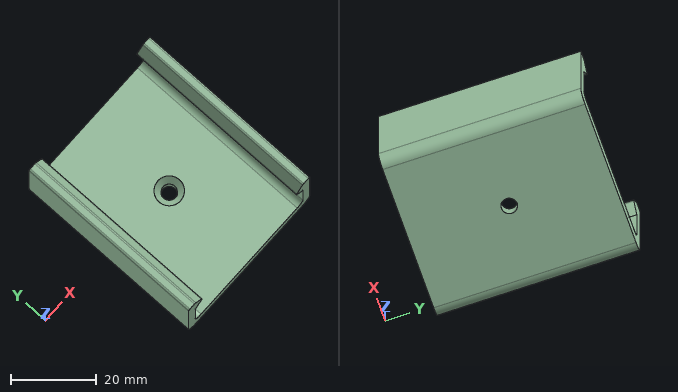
import cadquery as cq

width = 42.5
length = 50.0
height = 28.0

wall = 2.4
floor = 5.0
outer_bottom_radius = 3.0
inner_bottom_radius = 2.0
top_edge_radius = 0.5

lip_projection = 2.4
lip_height = 8.2
lip_tip_radius = 0.8

hole_diameter = 3.8
countersink_diameter = 7.1
countersink_angle = 90.0

half_width = width / 2
inner_x = half_width - wall
tip_x = inner_x - lip_projection
tip_z = height - lip_height / 2
lip_bottom_z = height - lip_height


def round_lengthwise_edges(body, places, radius):
    """Round the edges along Y at the given (x, z) places, on both sides."""
    tolerance = 0.025
    for x, z in places:
        for side in (-1, 1):
            near_corner = (side * x - tolerance, -length, z - tolerance)
            far_corner = (side * x + tolerance, length, z + tolerance)
            edges = body.edges("|Y").edges(cq.selectors.BoxSelector(near_corner, far_corner))
            body = edges.fillet(radius)
    return body


right_half = [
    (0, 0),
    (half_width, 0),
    (half_width, height),
    (inner_x, height),
    (tip_x, tip_z),
    (inner_x, lip_bottom_z),
    (inner_x, floor),
    (0, floor),
]
half_channel = cq.Workplane("XZ").polyline(right_half).close().extrude(length / 2, both=True)
channel = half_channel.union(half_channel.mirror("YZ")).clean()

channel = round_lengthwise_edges(channel, [(half_width, 0)], outer_bottom_radius)
channel = round_lengthwise_edges(channel, [(inner_x, floor)], inner_bottom_radius)
channel = round_lengthwise_edges(channel, [(half_width, height), (inner_x, height)], top_edge_radius)
channel = round_lengthwise_edges(channel, [(tip_x, tip_z)], lip_tip_radius)

result = (
    channel.copyWorkplane(cq.Workplane("XY", origin=(0, 0, floor)))
    .cskHole(hole_diameter, countersink_diameter, countersink_angle, depth=floor)
)